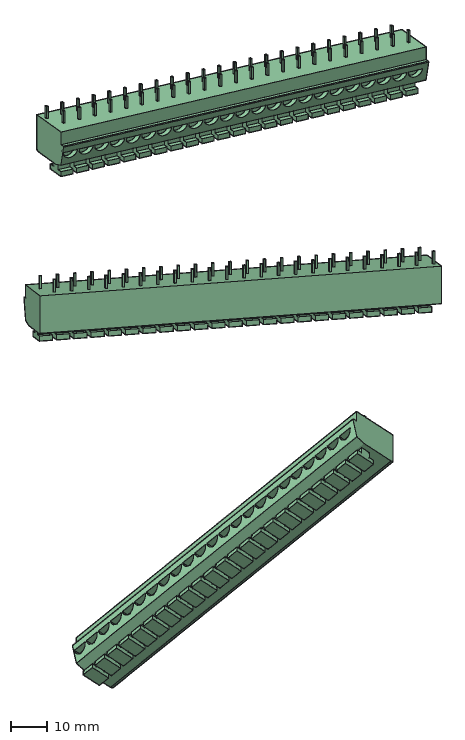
import cadquery as cq


length = 116.5
front_end = -length / 2
pole_count = 23
pins_per_pole = 2
pin_count = pins_per_pole * pole_count
pin_margin_front = 1.3
pin_margin_back = 2.7
pin_pitch = (length - pin_margin_front - pin_margin_back) / (pin_count - 1)
pole_pitch = pins_per_pole * pin_pitch

head_height = 1.5
body_bottom = 3.5
body_height = 11.0
body_top = body_bottom + body_height
pin_height = 3.6

body_width = 13.6
bevel_width = 0.8
bevel_height = 0.28
slope_start = 10.7
toe_x = 13.5
toe_z = 4.3
ridge_tip = 15.0
ridge_top = 10.6
ridge_bevel = 0.2

pin_width = 0.8
pin_thickness = 0.6
row_margin = 2.9
first_row_x = row_margin + pin_width / 2
row_spacing = 5.0

button_x = 8.9
button_length = 3.8
button_margin = 2.9
head_width = 6.0
stem_width = 2.8

opening_radius = 2.2
opening_back_x = 12.3
opening_roof_z = 8.5
opening_margin = pin_margin_front + pin_pitch / 2


def pole_positions(margin):
    """Y of every pole, the first one lying the given margin from the -Y end."""
    return [front_end + margin + pole * pole_pitch for pole in range(pole_count)]


def make_housing():
    profile = [
        (0, body_top),
        (0, body_bottom + bevel_height),
        (bevel_width, body_bottom),
        (slope_start, body_bottom),
        (toe_x, toe_z),
        (ridge_tip, ridge_top - ridge_bevel),
        (ridge_tip - ridge_bevel, ridge_top),
        (body_width, ridge_top),
        (body_width, body_top),
    ]
    return cq.Workplane("XZ").polyline(profile).close().extrude(length / 2, both=True)


def add_blocks(body, points, z_bottom, x_size, y_size, z_size):
    """Join equal blocks, centred on the given XY points, to the body."""
    blocks = (
        cq.Workplane("XY", origin=(0, 0, z_bottom))
        .pushPoints(points)
        .rect(x_size, y_size)
        .extrude(z_size)
    )
    return body.union(blocks)


def add_pins(body):
    points = []
    for index in range(pin_count):
        x = first_row_x + (index % pins_per_pole) * row_spacing
        y = front_end + pin_margin_front + index * pin_pitch
        points.append((x, y))
    return add_blocks(body, points, body_top, pin_width, pin_thickness, pin_height)


def add_buttons(body):
    points = [(button_x, y) for y in pole_positions(button_margin)]
    stem_height = body_bottom - head_height
    body = add_blocks(body, points, head_height, stem_width, button_length, stem_height)
    return add_blocks(body, points, 0, head_width, button_length, head_height)


def cut_openings(body):
    outlines = cq.Workplane("YZ", origin=(opening_back_x, 0, opening_roof_z))
    for y in pole_positions(opening_margin):
        outlines = (
            outlines.moveTo(y - opening_radius, 0)
            .threePointArc((y, -opening_radius), (y + opening_radius, 0))
            .close()
        )
    return body.cut(outlines.extrude(ridge_tip - opening_back_x))


result = make_housing()
result = cut_openings(result)
result = add_pins(result)
result = add_buttons(result)